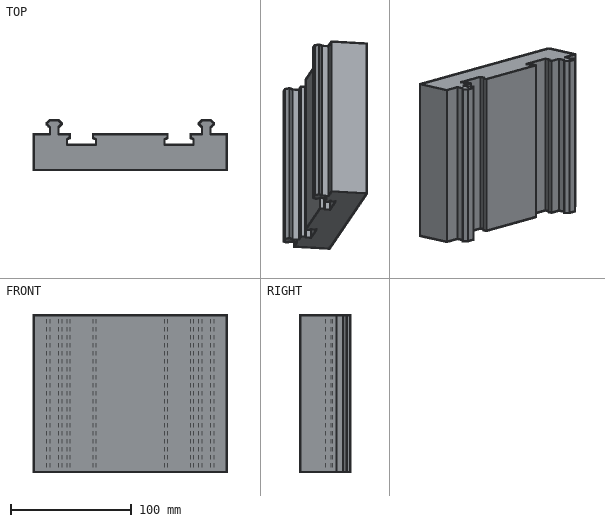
import cadquery as cq

width = 160.0
height = 130.0
total_depth = 41.5
plate_depth = 30.0

rail_offset = 63.0
stem_width = 7.2
root_overlap = 1.6
head_width = 13.0
head_height = 6.0
head_bevel = (head_width - stem_width) / 2

groove_offset = 40.5
mouth_width = 19.2
groove_width = 23.8
groove_depth = 8.8
lip_depth = 3.4
lip_slope_depth = 1.1


def symmetric_prism(center_x, half_outline):
    """Mirror (half width, Y) points about center_x and extrude them over the full height."""
    right_side = [(center_x + half, y) for half, y in half_outline]
    left_side = [(center_x - half, y) for half, y in reversed(half_outline)]
    return cq.Workplane("XY").polyline(right_side + left_side).close().extrude(height)


def rail(center_x):
    """Narrow stem, rooted in the plate, with a bevelled head."""
    root_y = plate_depth - root_overlap
    head_y = total_depth - head_height
    return symmetric_prism(center_x, [
        (stem_width / 2, root_y),
        (stem_width / 2, head_y),
        (head_width / 2, head_y + head_bevel),
        (head_width / 2, total_depth - head_bevel),
        (stem_width / 2, total_depth),
    ])


def groove(center_x):
    """Open slot that widens below its lips."""
    lip_y = plate_depth - lip_depth
    return symmetric_prism(center_x, [
        (groove_width / 2, plate_depth - groove_depth),
        (groove_width / 2, lip_y - lip_slope_depth),
        (mouth_width / 2, lip_y),
        (mouth_width / 2, plate_depth),
    ])


result = cq.Workplane("XY").box(width, plate_depth, height, centered=(True, False, False))
for side in (-1, 1):
    result = result.cut(groove(side * groove_offset))
    result = result.union(rail(side * rail_offset))